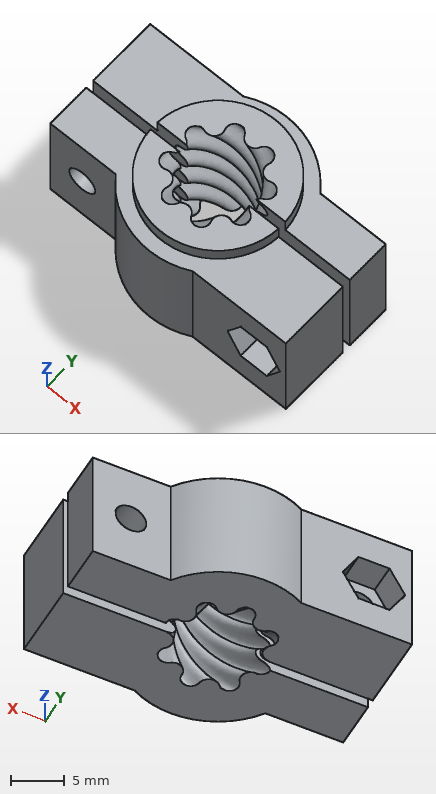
import cadquery as cq
import math

length = 31.75
body_height = 12.7
hub_radius = 9.52
collar_radius = 7.95
collar_height = 1.6
total_height = body_height + collar_height
split_gap = 0.95
thick_arm_reach = 8.48
thin_arm_reach = 5.52

screw_offset = 11.9
screw_diameter = 3.2
nut_across_corners = 6.48
nut_pocket_depth = 3.02

flute_count = 8
tooth_tip_radius = 4.2
flank_radius = 4.92
flute_bottom_radius = 5.7
helix_pitch = 26.05
bore_twist = 360.0 * total_height / helix_pitch


def polar(radius, angle):
    """Point at the given radius and angle in degrees."""
    return (radius * math.cos(math.radians(angle)), radius * math.sin(math.radians(angle)))


def make_bore_profile():
    """Closed wavy outline: each flute arc is followed by the arc of the next tooth."""
    arc_angle = 180.0 / flute_count
    profile = cq.Workplane("XY").moveTo(*polar(flank_radius, arc_angle / 2))
    for index in range(flute_count):
        flute_angle = (2 * index + 1) * arc_angle
        tooth_angle = flute_angle + arc_angle
        profile = profile.threePointArc(
            polar(flute_bottom_radius, flute_angle),
            polar(flank_radius, flute_angle + arc_angle / 2),
        )
        profile = profile.threePointArc(
            polar(tooth_tip_radius, tooth_angle),
            polar(flank_radius, tooth_angle + arc_angle / 2),
        )
    return profile.close()


def make_bore():
    """Twisted cutter whose outline at the top face has a flute on each side of the axes."""
    bore = make_bore_profile().twistExtrude(total_height, bore_twist)
    return bore.rotate((0, 0, 0), (0, 0, 1), -bore_twist)


def make_arm(direction, reach):
    """Flat arm from the middle of the hub to one end; direction is the sign along X."""
    arm = cq.Workplane("XY").box(length / 2, reach, body_height, centered=(True, False, False))
    return arm.translate((direction * length / 4, -reach, 0))


def make_screw_hole(x):
    """Through hole along Y."""
    return (
        cq.Workplane("XZ")
        .center(x, body_height / 2)
        .circle(screw_diameter / 2)
        .extrude(hub_radius)
    )


def make_nut_pocket():
    """Hexagonal recess in the outer face of the thick arm."""
    return (
        cq.Workplane("XZ", origin=(0, nut_pocket_depth - thick_arm_reach, 0))
        .center(screw_offset, body_height / 2)
        .polygon(6, nut_across_corners)
        .extrude(nut_pocket_depth)
    )


def make_clamp_half():
    """Half on the -Y side of the split, with its thick arm toward +X."""
    half = cq.Workplane("XY").circle(hub_radius).extrude(body_height)
    half = half.union(make_arm(-1, thin_arm_reach)).union(make_arm(1, thick_arm_reach))
    half = half.union(cq.Workplane("XY").circle(collar_radius).extrude(total_height))
    front_space = cq.Workplane("XY").box(length, hub_radius, total_height, centered=(True, False, False))
    half = half.intersect(front_space.translate((0, -hub_radius - split_gap / 2, 0)))
    half = half.cut(make_bore())
    for x in (-screw_offset, screw_offset):
        half = half.cut(make_screw_hole(x))
    return half.cut(make_nut_pocket())


clamp_halves = []
for turn in (0, 180):
    clamp_half = make_clamp_half().rotate((0, 0, 0), (0, 0, 1), turn)
    clamp_halves.append(clamp_half.val())

result = cq.Compound.makeCompound(clamp_halves)